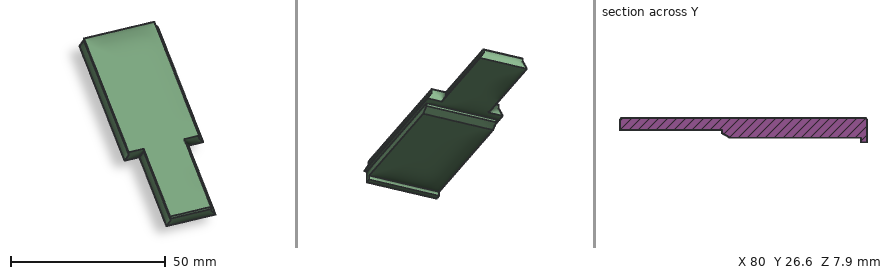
import cadquery as cq
import math

total_length = 80.0
total_height = 7.9
body_length = 50.0

body_width = 26.65
tail_width = 16.65
upright_height = 1.4
flank_height = 2.5
flank_angle = 30.0
end_chamfer = 0.5
plate_height = upright_height + flank_height
flare = flank_height * math.tan(math.radians(flank_angle))

block_width = 24.8
block_end_x = 47.0
block_depth = 2.5
lip_length = 2.0
slope_length = 2.6
slope_height = 1.5

plate_bottom_z = total_height - plate_height
block_bottom_z = plate_bottom_z - block_depth


def dovetail_bar(width, start_x, end_x):
    """Bar along X, with upright edges at the top and flared flanks below."""
    half_bottom = width / 2
    half_top = half_bottom - flare
    shoulder_z = total_height - upright_height
    profile = [
        (-half_bottom, plate_bottom_z),
        (half_bottom, plate_bottom_z),
        (half_top, shoulder_z),
        (half_top, total_height),
        (-half_top, total_height),
        (-half_top, shoulder_z),
    ]
    return (
        cq.Workplane("YZ", origin=(start_x, 0, 0))
        .polyline(profile)
        .close()
        .extrude(end_x - start_x)
    )


def lower_block():
    """Block below the plate, extruded symmetrically about the XZ plane."""
    profile = [
        (0, 0),
        (lip_length, 0),
        (lip_length, block_bottom_z),
        (block_end_x - slope_length, block_bottom_z),
        (block_end_x, block_bottom_z + slope_height),
        (block_end_x, plate_bottom_z),
        (0, plate_bottom_z),
    ]
    return cq.Workplane("XZ").polyline(profile).close().extrude(block_width / 2, both=True)


body = dovetail_bar(body_width, 0, body_length)
body = body.faces("<X").edges(">Z").chamfer(end_chamfer)
tail = dovetail_bar(tail_width, body_length, total_length)
tail = tail.faces(">X").edges(">Z").chamfer(end_chamfer)

result = body.union(tail).union(lower_block())